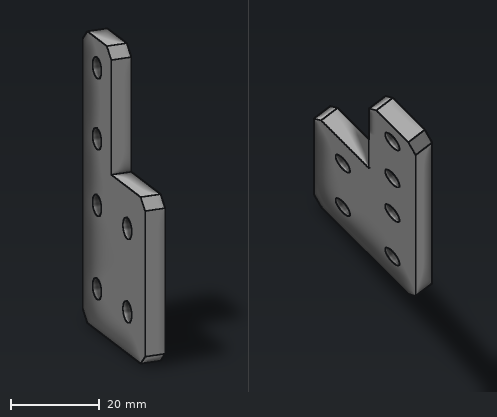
import cadquery as cq

width = 35.0
height = 70.0
thickness = 5.0

arm_width = 16.0
base_height = 40.0
corner_chamfer = 2.5

hole_diameter = 5.0
arm_column_x = arm_width / 2
column_spacing = 17.0
base_column_x = arm_column_x + column_spacing
base_hole_heights = [10.0, 30.0]
arm_hole_heights = [46.0, 63.0]


def plate():
    """L-shaped plate with its front face on Y = 0 and chamfered outer corners."""
    c = corner_chamfer
    outline = [
        (c, 0),
        (width - c, 0),
        (width, c),
        (width, base_height - c),
        (width - c, base_height),
        (arm_width, base_height),
        (arm_width, height - c),
        (arm_width - c, height),
        (c, height),
        (0, height - c),
        (0, c),
    ]
    return cq.Workplane("XZ").polyline(outline).close().extrude(-thickness)


def hole_cutters():
    """Cylinders through the full thickness at every hole."""
    centers = [(arm_column_x, z) for z in base_hole_heights + arm_hole_heights]
    centers += [(base_column_x, z) for z in base_hole_heights]
    return cq.Workplane("XZ").pushPoints(centers).circle(hole_diameter / 2).extrude(-thickness)


result = plate().cut(hole_cutters())